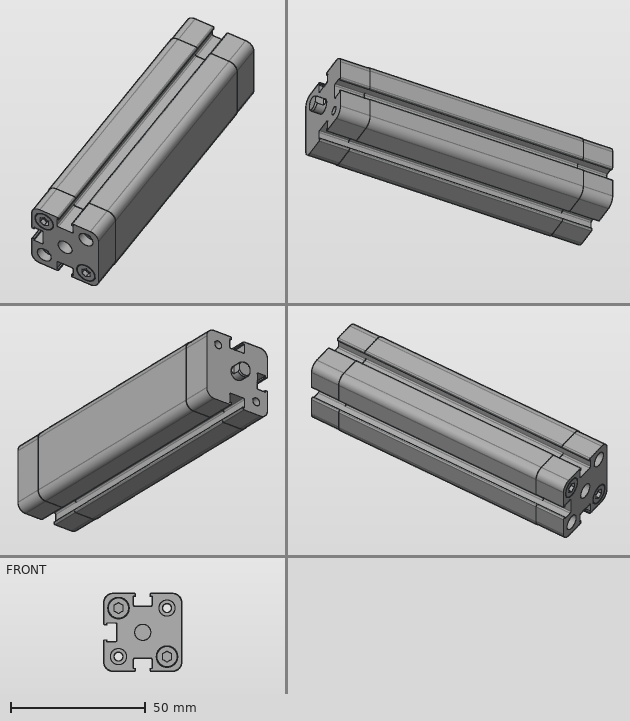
import cadquery as cq
import math

CAP_LENGTH = 12.25
BODY_LENGTH = 88.5
ROD_LENGTH = 4.5
BARREL_LENGTH = BODY_LENGTH + 2 * CAP_LENGTH

BODY_WIDTH = 29.05
CAP_WIDTH = 28.8
CORNER_RADIUS = 3.5

SLOT_WIDTH = 6.9
SLOT_OPENING = 5.5
LIP_ROUND_RADIUS = 0.5
LIP_UNDERSIDE = 13.35
CAP_SLOT_FLOOR = 9.5
BODY_SLOT_FLOOR = 9.7
FLOOR_FILLET = 0.5
SLOT_ROTATIONS = (0, 90, 180)
CUT_OVERSHOOT = 1.0

HOLE_OFFSET = 9.0
MOUNT_THREAD_DIAMETER = 3.24
MOUNT_RECESS_DIAMETER = 6.0
MOUNT_RECESS_DEPTH = 3.6
CENTRE_HOLE_DIAMETER = 6.0
CENTRE_HOLE_DEPTH = 6.0
SCREW_RECESS_DIAMETER = 8.0
SCREW_HEAD_DIAMETER = 7.5
SCREW_HEAD_HEIGHT = 4.0
SCREW_HEX_ACROSS_FLATS = 3.5
SCREW_HEX_DEPTH = 2.0

ROD_DIAMETER = 6.0
ROD_ACROSS_FLATS = 5.0
FLAT_LENGTH = 3.3
FLAT_RUNOUT = 0.8
ROD_CHAMFER_LENGTH = 0.75
ROD_CHAMFER_DEPTH = 0.3


def plane_at(y):
    """XZ workplane at the given Y; positive extrusion runs toward +Y, local x is -X."""
    return cq.Workplane(cq.Plane(origin=(0, y, 0), xDir=(-1, 0, 0), normal=(0, 1, 0)))


def cylinder(x, z, y, diameter, length):
    """Cylinder along Y that starts at y."""
    return plane_at(y).center(-x, z).circle(diameter / 2).extrude(length)


def slot_cutter(half_width, floor, y, length):
    """Undercut slot open toward +Z: wide chamber below two lips with rounded edges."""
    wall = SLOT_WIDTH / 2
    tip = SLOT_OPENING / 2
    mouth = tip + LIP_ROUND_RADIUS
    overshoot = half_width + CUT_OVERSHOOT
    return (
        plane_at(y)
        .moveTo(-wall, LIP_UNDERSIDE)
        .lineTo(-wall, floor + FLOOR_FILLET)
        .radiusArc((-wall + FLOOR_FILLET, floor), -FLOOR_FILLET)
        .lineTo(wall - FLOOR_FILLET, floor)
        .radiusArc((wall, floor + FLOOR_FILLET), -FLOOR_FILLET)
        .lineTo(wall, LIP_UNDERSIDE)
        .lineTo(tip, LIP_UNDERSIDE)
        .lineTo(tip, half_width - LIP_ROUND_RADIUS)
        .radiusArc((mouth, half_width), LIP_ROUND_RADIUS)
        .lineTo(mouth, overshoot)
        .lineTo(-mouth, overshoot)
        .lineTo(-mouth, half_width)
        .radiusArc((-tip, half_width - LIP_ROUND_RADIUS), LIP_ROUND_RADIUS)
        .lineTo(-tip, LIP_UNDERSIDE)
        .close()
        .extrude(length)
    )


def profile_section(width, floor, y, length):
    """Length of slotted square profile that starts at y."""
    section = plane_at(y).rect(width, width).extrude(length).edges("|Y").fillet(CORNER_RADIUS)
    cutter = slot_cutter(width / 2, floor, y, length)
    for angle in SLOT_ROTATIONS:
        section = section.cut(cutter.rotate((0, 0, 0), (0, 1, 0), -angle))
    return section


def piston_rod():
    """Rod end with a chamfered tip and two wrench flats facing -X and +X."""
    radius = ROD_DIAMETER / 2
    tip_y = BARREL_LENGTH + ROD_LENGTH
    rod = (
        cq.Workplane("XY")
        .moveTo(0, BARREL_LENGTH)
        .lineTo(radius, BARREL_LENGTH)
        .lineTo(radius, tip_y - ROD_CHAMFER_LENGTH)
        .lineTo(radius - ROD_CHAMFER_DEPTH, tip_y)
        .lineTo(0, tip_y)
        .close()
        .revolve(360, (0, 0, 0), (0, 1, 0))
    )
    flat_x = ROD_ACROSS_FLATS / 2
    flat_start = tip_y - FLAT_LENGTH
    flat = (
        cq.Workplane("XY")
        .moveTo(flat_x, tip_y)
        .lineTo(flat_x, flat_start)
        .lineTo(radius, flat_start - FLAT_RUNOUT)
        .lineTo(radius, tip_y)
        .close()
        .extrude(radius, both=True)
    )
    return rod.cut(flat).cut(flat.mirror("YZ"))


def mounting_hole(x, z):
    """Thread core through the whole barrel with a wider recess at the front."""
    hole = cylinder(x, z, 0, MOUNT_THREAD_DIAMETER, BARREL_LENGTH)
    return hole.union(cylinder(x, z, 0, MOUNT_RECESS_DIAMETER, MOUNT_RECESS_DEPTH))


def screw_recess(x, z):
    """Ring-shaped gap around a flush socket screw head, and the hexagon socket in it."""
    gap = cylinder(x, z, 0, SCREW_RECESS_DIAMETER, SCREW_HEAD_HEIGHT)
    gap = gap.cut(cylinder(x, z, 0, SCREW_HEAD_DIAMETER, SCREW_HEAD_HEIGHT))
    across_corners = SCREW_HEX_ACROSS_FLATS / math.cos(math.pi / 6)
    socket = plane_at(0).center(-x, z).transformed(rotate=(0, 0, 90))
    return gap.union(socket.polygon(6, across_corners).extrude(SCREW_HEX_DEPTH))


rear_cap_y = CAP_LENGTH + BODY_LENGTH
barrel = profile_section(CAP_WIDTH, CAP_SLOT_FLOOR, 0, CAP_LENGTH)
barrel = barrel.union(profile_section(BODY_WIDTH, BODY_SLOT_FLOOR, CAP_LENGTH, BODY_LENGTH))
barrel = barrel.union(profile_section(CAP_WIDTH, CAP_SLOT_FLOOR, rear_cap_y, CAP_LENGTH))

barrel = barrel.cut(cylinder(0, 0, 0, CENTRE_HOLE_DIAMETER, CENTRE_HOLE_DEPTH))
for side in (-1, 1):
    barrel = barrel.cut(mounting_hole(side * HOLE_OFFSET, side * HOLE_OFFSET))
    barrel = barrel.cut(screw_recess(side * HOLE_OFFSET, -side * HOLE_OFFSET))

result = barrel.union(piston_rod())